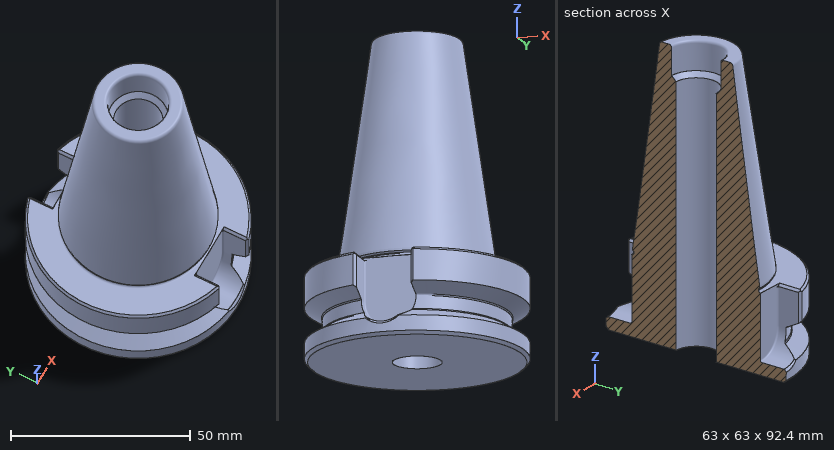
import cadquery as cq
import math

flange_radius = 31.5
flange_top = 25.0
flange_bottom_chamfer = 0.9
flange_top_chamfer = 0.65
root_radius = 26.5
root_fillet = 0.5
lower_rim_top = 5.4
upper_rim_bottom = 15.4
groove_angle = math.radians(30)
groove_rise = (flange_radius - root_radius) * math.tan(groove_angle)

total_height = 92.4
taper_slope = 7 / 48
gauge_radius = 22.3
gauge_height = 27.2
gauge_land = 0.65
neck_radius = 21.8
neck_fillet = 0.7
tip_radius = gauge_radius - taper_slope * (total_height - gauge_height)
tip_fillet = 1.1

hole_radius = 6.9
counterbore_radius = 8.5
counterbore_depth = 9.3
seat_drop = 1.5
mouth_fillet = 1.0

slot_width = 16.1
slot_radius = slot_width / 2
slot_bottom = 4.2
slot_floor = 22.45
slot_floor_fillet = 0.6
slot_chamfer = 0.7
slot_center = slot_bottom + slot_radius

select_margin = 0.1


def circle_at(radius, height):
    """Selector for the circular edges around Z that fit inside the given radius at a height."""
    reach = radius + select_margin
    return cq.selectors.BoxSelector(
        (-reach, -reach, height - select_margin),
        (reach, reach, height + select_margin),
        boundingbox=True,
    )


def make_body():
    body = (
        cq.Workplane("XZ")
        .polyline([
            (0, 0),
            (flange_radius - flange_bottom_chamfer, 0),
            (flange_radius, flange_bottom_chamfer),
            (flange_radius, lower_rim_top),
            (root_radius, lower_rim_top + groove_rise),
            (root_radius, upper_rim_bottom - groove_rise),
            (flange_radius, upper_rim_bottom),
            (flange_radius, flange_top - flange_top_chamfer),
            (flange_radius - flange_top_chamfer, flange_top),
            (neck_radius, flange_top),
            (neck_radius, gauge_height - gauge_land - (gauge_radius - neck_radius)),
            (gauge_radius, gauge_height - gauge_land),
            (gauge_radius, gauge_height),
            (tip_radius, total_height),
            (0, total_height),
        ])
        .close()
        .revolve(360, (0, 0), (0, 1))
    )
    body = body.faces(">Z").edges().fillet(tip_fillet)
    body = body.edges(circle_at(neck_radius, flange_top)).fillet(neck_fillet)
    for root_height in (lower_rim_top + groove_rise, upper_rim_bottom - groove_rise):
        body = body.edges(circle_at(root_radius, root_height)).fillet(root_fillet)
    return body


def make_bore():
    mouth_radius = counterbore_radius + mouth_fillet
    mouth_bottom = total_height - mouth_fillet
    diagonal = mouth_fillet * math.sqrt(0.5)
    seat_top = total_height - counterbore_depth
    return (
        cq.Workplane("XZ")
        .lineTo(hole_radius, 0)
        .lineTo(hole_radius, seat_top - seat_drop)
        .lineTo(counterbore_radius, seat_top)
        .lineTo(counterbore_radius, mouth_bottom)
        .threePointArc(
            (mouth_radius - diagonal, mouth_bottom + diagonal),
            (mouth_radius, total_height),
        )
        .lineTo(0, total_height)
        .close()
        .revolve(360, (0, 0), (0, 1))
    )


def slot_prism():
    """U-shaped prism, running from the slot floor outward towards -Y."""
    return (
        cq.Workplane("XZ", origin=(0, -slot_floor, 0))
        .moveTo(-slot_radius, flange_top)
        .lineTo(-slot_radius, slot_center)
        .threePointArc((0, slot_center - slot_radius), (slot_radius, slot_center))
        .lineTo(slot_radius, flange_top)
        .close()
        .extrude(flange_radius - slot_floor)
    )


def make_slot():
    slot = slot_prism()
    floor_edges = slot.faces(">Y").edges("not >Z")
    slot = floor_edges.fillet(slot_floor_fillet)

    top_bevel = (
        cq.Workplane("XZ", origin=(0, -slot_floor, 0))
        .polyline([
            (-slot_radius - slot_chamfer, flange_top),
            (-slot_radius, flange_top - slot_chamfer),
            (slot_radius, flange_top - slot_chamfer),
            (slot_radius + slot_chamfer, flange_top),
        ])
        .close()
        .extrude(flange_radius - slot_floor)
    )

    side_rim_y = math.sqrt(flange_radius**2 - (slot_radius + slot_chamfer) ** 2)
    side_bevel = (
        cq.Workplane("XY")
        .polyline([
            (-slot_radius, -side_rim_y + slot_chamfer),
            (slot_radius, -side_rim_y + slot_chamfer),
            (slot_radius + 2 * slot_chamfer, -side_rim_y - slot_chamfer),
            (-slot_radius - 2 * slot_chamfer, -side_rim_y - slot_chamfer),
        ])
        .close()
        .extrude(flange_top - slot_center)
        .translate((0, 0, slot_center))
    )
    bottom_bevel = cq.Workplane(
        cq.Solid.makeCone(
            slot_radius,
            slot_radius + slot_chamfer,
            slot_chamfer,
            cq.Vector(0, slot_chamfer - flange_radius, slot_center),
            cq.Vector(0, -1, 0),
        )
    )
    return slot.union(top_bevel).union(side_bevel).union(bottom_bevel)


slot = make_slot()
result = make_body().cut(make_bore()).cut(slot).cut(slot.mirror("XZ"))